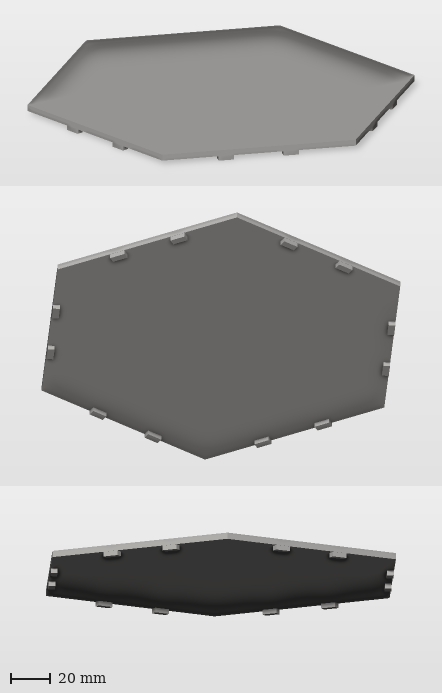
import cadquery as cq
import math

corner_diameter = 200.0
plate_thickness = 3.2
edge_distance = corner_diameter / 2 * math.cos(math.radians(30))

side_count = 6
tab_length = 8.0
tab_width = 3.5
tab_inset = 0.1
tab_height = 2.5
tab_offset = 16.8


def make_plate():
    """Hexagon whose underside lies on Z = 0."""
    return (
        cq.Workplane("XY")
        .polygon(side_count, corner_diameter)
        .extrude(plate_thickness)
        .rotate((0, 0, 0), (0, 0, 1), 90)
    )


def make_tab_pair():
    """Two tabs hanging below the edge on the +X side."""
    tab_x = edge_distance - tab_inset - tab_width / 2
    return (
        cq.Workplane("XY")
        .pushPoints([(tab_x, -tab_offset), (tab_x, tab_offset)])
        .rect(tab_width, tab_length)
        .extrude(-tab_height)
    )


result = make_plate()
tab_pair = make_tab_pair()
for edge in range(side_count):
    result = result.union(tab_pair.rotate((0, 0, 0), (0, 0, 1), edge * 360 / side_count))